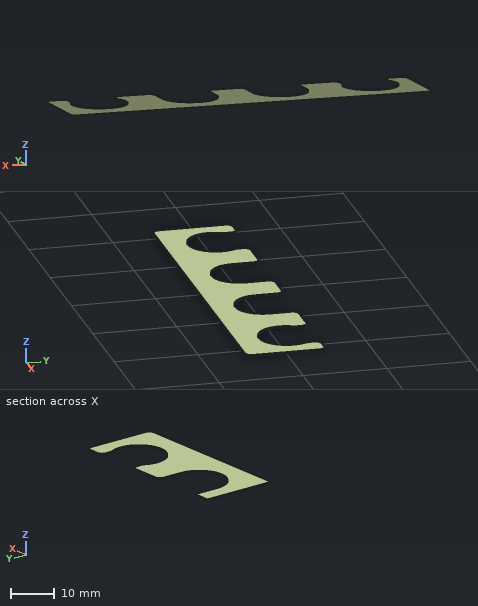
import cadquery as cq

length = 88.9
width = 19.0
thickness = 0.38
corner_radius = 1.5

notch_pitch = length / 4
notch_radius = 6.6
notch_center_y = 12.4
snap_mouth_width = 11.3
open_mouth_width = 2 * notch_radius

notches = [
    (-1.5 * notch_pitch, snap_mouth_width),
    (-0.5 * notch_pitch, open_mouth_width),
    (0.5 * notch_pitch, open_mouth_width),
    (1.5 * notch_pitch, snap_mouth_width),
]


def notch_cutter(x, mouth_width):
    """Round seat joined to a straight mouth that reaches the top edge."""
    mouth_depth = width - notch_center_y
    seat = cq.Workplane("XY").center(x, notch_center_y).circle(notch_radius).extrude(thickness)
    mouth = (
        cq.Workplane("XY")
        .center(x, notch_center_y + mouth_depth / 2)
        .rect(mouth_width, mouth_depth)
        .extrude(thickness)
    )
    return seat.union(mouth)


plate = cq.Workplane("XY").box(length, width, thickness, centered=(True, False, False))
for notch_x, mouth_width in notches:
    plate = plate.cut(notch_cutter(notch_x, mouth_width))

long_edge_corners = plate.faces("<Y").edges("|Z")
mouth_edge_corners = plate.faces(">Y").edges("|Z")
result = long_edge_corners.add(mouth_edge_corners).fillet(corner_radius)